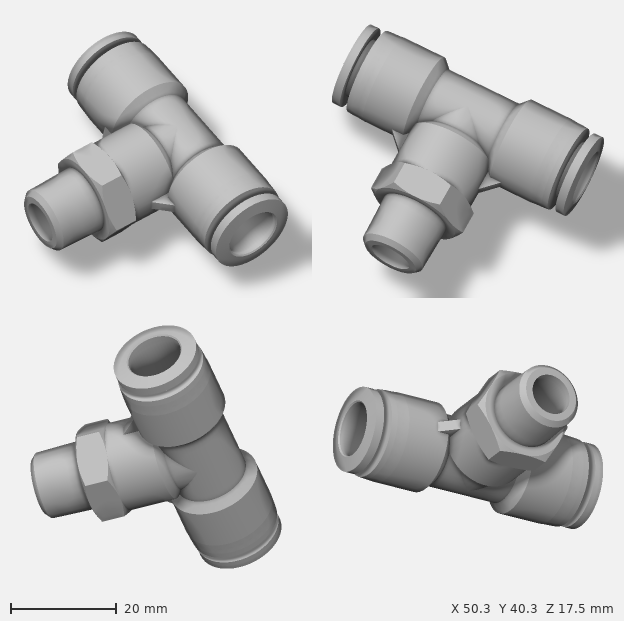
import cadquery as cq
import math

half_length = 25.15
run_radius = 7.05
body_radius = 8.75
shoulder_start = 7.55
shoulder_end = shoulder_start + body_radius - run_radius
taper_start = 17.8
taper_bend = 20.2
taper_bend_radius = 8.6
body_rim = 21.45
body_rim_radius = 8.5
body_end = 21.85

neck_radius = 5.9
collar_start = 23.0
collar_radius = 8.25
collar_face_depth = 0.45

bore_radius = 4.0
socket_radius = 5.25
socket_bevel = 0.25
mouth_radius = socket_radius + socket_bevel
socket_floor = shoulder_end

branch_radius = 8.5
cone_start = 5.0
cone_end = cone_start + branch_radius - run_radius
hex_start = 15.55
hex_end = 21.5
hex_flats = 17.0
hex_sides = 6
hex_bevel_angle = 30.0
thread_root_radius = 6.65
thread_end_radius = 6.4
thread_end = 30.55
overall_depth = 40.25
tip = overall_depth - body_radius
tip_radius = thread_end_radius - (tip - thread_end)

rib_thickness = 2.0
rib_leg = 20.3


def revolve_about_x(profile):
    """Revolve a closed (x, radius) outline about the X axis."""
    return cq.Workplane("XY").polyline(profile).close().revolve(360, (0, 0), (1, 0))


def revolve_about_branch(profile):
    """Revolve a closed (radius, distance) outline about the branch axis."""
    points = [(radius, -distance) for radius, distance in profile]
    return cq.Workplane("XY").polyline(points).close().revolve(360, (0, 0), (0, 1))


def make_half_run():
    return revolve_about_x([
        (0, 0),
        (0, run_radius),
        (shoulder_start, run_radius),
        (shoulder_end, body_radius),
        (taper_start, body_radius),
        (taper_bend, taper_bend_radius),
        (body_rim, body_rim_radius),
        (body_end, neck_radius),
        (collar_start, neck_radius),
        (collar_start, collar_radius),
        (half_length - collar_face_depth, collar_radius),
        (half_length, mouth_radius),
        (half_length, 0),
    ])


def make_socket():
    """Tube socket with a beveled mouth, for the +X end."""
    return revolve_about_x([
        (socket_floor, 0),
        (socket_floor, socket_radius),
        (half_length - socket_bevel, socket_radius),
        (half_length, mouth_radius),
        (half_length, 0),
    ])


def make_branch():
    return revolve_about_branch([
        (0, 0),
        (run_radius, 0),
        (run_radius, cone_start),
        (branch_radius, cone_end),
        (branch_radius, hex_end),
        (thread_root_radius, hex_end),
        (thread_end_radius, thread_end),
        (tip_radius, tip),
        (0, tip),
    ])


def make_hex():
    """Hexagon with corners on +X and -X, both ends beveled from the flats outward."""
    flat_radius = hex_flats / 2
    corner_radius = flat_radius / math.cos(math.pi / hex_sides)
    bevel_depth = (corner_radius - flat_radius) * math.tan(math.radians(hex_bevel_angle))
    prism = (
        cq.Workplane("XZ", origin=(0, -hex_start, 0))
        .polygon(hex_sides, 2 * corner_radius)
        .extrude(hex_end - hex_start)
    )
    envelope = revolve_about_branch([
        (0, hex_start),
        (flat_radius, hex_start),
        (corner_radius, hex_start + bevel_depth),
        (corner_radius, hex_end - bevel_depth),
        (flat_radius, hex_end),
        (0, hex_end),
    ])
    return prism.intersect(envelope)


def make_ribs():
    """One plate with 45 degree sides; only its two corners beside the branch stay exposed."""
    rib_reach = rib_leg - body_radius
    return (
        cq.Workplane("XY")
        .polyline([
            (-rib_reach, 0),
            (rib_reach, 0),
            (rib_reach, -body_radius),
            (0, -rib_leg),
            (-rib_reach, -body_radius),
        ])
        .close()
        .extrude(rib_thickness / 2, both=True)
    )


half_run = make_half_run()
socket = make_socket()

result = half_run.union(half_run.mirror("YZ"))
result = result.union(make_branch()).union(make_hex())
result = result.union(make_ribs())

run_bore = cq.Workplane("YZ").circle(bore_radius).extrude(half_length, both=True)
branch_bore = cq.Workplane("XZ").circle(bore_radius).extrude(tip)
result = result.cut(run_bore).cut(branch_bore)
result = result.cut(socket).cut(socket.mirror("YZ"))